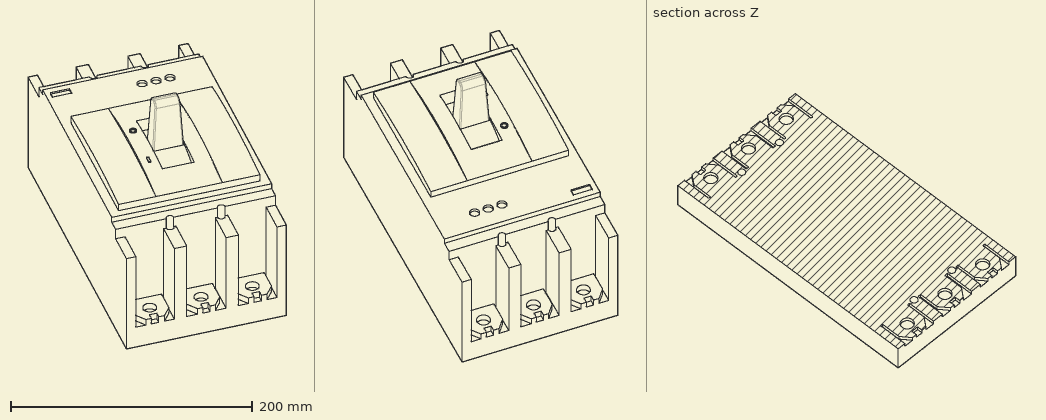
import cadquery as cq

LENGTH = 255.0
WIDTH = 140.0
TOTAL_HEIGHT = 168.8
WALL_TOP = 96.0
SHOULDER_TOP = 105.8
DECK_TOP = 111.0
SHOULDER_LENGTH = 199.2
DECK_LENGTH = 179.0

BAY_FLOOR = 21.2
OUTER_BAY_WIDTH = 33.7
MIDDLE_BAY_WIDTH = 34.5
POLE_PITCH = 45.0
BAY_LENGTH = (LENGTH - SHOULDER_LENGTH) / 2

PAD_HEIGHT = 5.9
PAD_MARGIN = 1.8
MIDDLE_PAD_MARGIN = 2.5
PAD_CHAMFER_LENGTH = 9.0
PAD_CHAMFER_WIDTH = 7.0
PAD_SLOT_LENGTH = 5.0
PAD_SLOT_WIDTH = 6.5
PAD_HOLE_DIAMETER = 11.5
PAD_HOLE_INSET = 14.0

MOUNT_DIAMETER = 6.5
MOUNT_Y = 22.5

INDICATOR_DIAMETER = 8.5
INDICATOR_X = -71.1
INDICATOR_MIDDLE_Y = 23.0
INDICATOR_PITCH = 12.2
INDICATOR_DEPTH = 2.5
RECESS_X = -80.8
RECESS_Y = -56.9
RECESS_LENGTH = 6.0
RECESS_WIDTH = 16.8
RECESS_DEPTH = 1.5

COVER_START = -40.8
COVER_SIZE = 123.7
COVER_X = COVER_START + COVER_SIZE / 2
COVER_EDGE = 117.5
SIDE_CROWN = 121.0
BAND_CROWN = 123.7
BAND_WIDTH = 58.1

WINDOW_LENGTH = 69.4
WINDOW_BOTTOM_LENGTH = 56.0
WINDOW_WIDTH = 27.8
WINDOW_BOTTOM = 112.2
ROCKER_TOP = 121.5
ROCKER_END = 114.8

HANDLE_BOTTOM_LENGTH = 16.5
HANDLE_BOTTOM_WIDTH = 27.5
HANDLE_TOP_LENGTH = 12.0
HANDLE_TOP_WIDTH = 21.5
HANDLE_TOP_RADIUS = 5.0
HANDLE_EDGE_RADIUS = 1.0

MARK_Y = -21.5
MARK_TOP = 123.7
RING_X = 0.8
RING_DIAMETER = 6.0
RING_BORE = 4.0
BAR_X = 41.3
BAR_LENGTH = 6.5
BAR_WIDTH = 2.0


def block(length, width, bottom, top, x=0, y=0):
    """Box centred on (x, y) between two heights."""
    return cq.Workplane("XY", origin=(x, y, bottom)).box(length, width, top - bottom, (True, True, False))


def cylinder(diameter, bottom, top, x, y):
    return cq.Workplane("XY", origin=(x, y, bottom)).circle(diameter / 2).extrude(top - bottom)


def crowned_block(length, width, bottom, edge, crown):
    """Block centred on the cover whose top arches along X from its edges to its crown."""
    half = length / 2
    return (
        cq.Workplane("XZ", origin=(COVER_X, width / 2, 0))
        .moveTo(-half, bottom)
        .lineTo(-half, edge)
        .threePointArc((0, crown), (half, edge))
        .lineTo(half, bottom)
        .close()
        .extrude(width)
    )


def terminal_pad(width):
    """Pad for the -X end, centred on Y = 0, with chamfered corners, an end slot and a bolt hole."""
    outer_x = -LENGTH / 2
    inner_x = -SHOULDER_LENGTH / 2
    half = width / 2
    pad = (
        cq.Workplane("XY", origin=(0, 0, BAY_FLOOR))
        .moveTo(inner_x, half)
        .lineTo(outer_x + PAD_CHAMFER_LENGTH, half)
        .lineTo(outer_x, half - PAD_CHAMFER_WIDTH)
        .lineTo(outer_x, PAD_CHAMFER_WIDTH - half)
        .lineTo(outer_x + PAD_CHAMFER_LENGTH, -half)
        .lineTo(inner_x, -half)
        .close()
        .extrude(PAD_HEIGHT)
    )
    pad_top = BAY_FLOOR + PAD_HEIGHT
    slot = block(2 * PAD_SLOT_LENGTH, PAD_SLOT_WIDTH, BAY_FLOOR, pad_top, outer_x)
    hole = cylinder(PAD_HOLE_DIAMETER, BAY_FLOOR, pad_top, outer_x + PAD_HOLE_INSET, 0)
    return pad.cut(slot).cut(hole)


def housing():
    body = block(LENGTH, WIDTH, 0, WALL_TOP)
    body = body.union(block(SHOULDER_LENGTH, WIDTH, 0, SHOULDER_TOP))
    body = body.union(block(DECK_LENGTH, WIDTH, 0, DECK_TOP))

    bay_x = (LENGTH - BAY_LENGTH) / 2
    for pole in (-1, 0, 1):
        pole_y = pole * POLE_PITCH
        bay_width = OUTER_BAY_WIDTH if pole else MIDDLE_BAY_WIDTH
        margin = PAD_MARGIN if pole else MIDDLE_PAD_MARGIN
        left_pad = terminal_pad(bay_width - 2 * margin)
        right_pad = left_pad.mirror("YZ")
        for side, pad in ((-1, left_pad), (1, right_pad)):
            body = body.cut(block(BAY_LENGTH, bay_width, BAY_FLOOR, WALL_TOP, side * bay_x, pole_y))
            body = body.union(pad.translate((0, pole_y, 0)))

    for x in (-SHOULDER_LENGTH / 2, SHOULDER_LENGTH / 2):
        for y in (-MOUNT_Y, MOUNT_Y):
            body = body.cut(cylinder(MOUNT_DIAMETER, 0, SHOULDER_TOP, x, y))
    return body


def cut_deck_details(body):
    for step in (-1, 0, 1):
        y = INDICATOR_MIDDLE_Y + step * INDICATOR_PITCH
        body = body.cut(cylinder(INDICATOR_DIAMETER, DECK_TOP - INDICATOR_DEPTH, DECK_TOP, INDICATOR_X, y))
    recess = block(RECESS_LENGTH, RECESS_WIDTH, DECK_TOP - RECESS_DEPTH, DECK_TOP, RECESS_X, RECESS_Y)
    return body.cut(recess)


def cover():
    plate = crowned_block(COVER_SIZE, COVER_SIZE, DECK_TOP, COVER_EDGE, SIDE_CROWN)
    band = crowned_block(COVER_SIZE, BAND_WIDTH, DECK_TOP, COVER_EDGE, BAND_CROWN)
    return plate.union(band)


def window():
    """Opening through the cover whose end walls slope inwards towards the bottom."""
    return (
        cq.Workplane("XY", origin=(COVER_X, 0, WINDOW_BOTTOM))
        .rect(WINDOW_BOTTOM_LENGTH, WINDOW_WIDTH)
        .workplane(offset=BAND_CROWN - WINDOW_BOTTOM)
        .rect(WINDOW_LENGTH, WINDOW_WIDTH)
        .loft()
    )


def rocker():
    return crowned_block(WINDOW_BOTTOM_LENGTH, WINDOW_WIDTH, WINDOW_BOTTOM, ROCKER_END, ROCKER_TOP)


def handle():
    lever = (
        cq.Workplane("XY", origin=(COVER_X, 0, ROCKER_END))
        .rect(HANDLE_BOTTOM_LENGTH, HANDLE_BOTTOM_WIDTH)
        .workplane(offset=TOTAL_HEIGHT - ROCKER_END)
        .rect(HANDLE_TOP_LENGTH, HANDLE_TOP_WIDTH)
        .loft()
    )
    lever = lever.faces(">Z").edges("|Y").fillet(HANDLE_TOP_RADIUS)
    return lever.faces("<Y or >Y").edges("not <Z").fillet(HANDLE_EDGE_RADIUS)


def marks():
    ring = cylinder(RING_DIAMETER, COVER_EDGE, MARK_TOP, RING_X, MARK_Y)
    bore = cylinder(RING_BORE, COVER_EDGE, MARK_TOP, RING_X, MARK_Y)
    bar = block(BAR_LENGTH, BAR_WIDTH, COVER_EDGE, MARK_TOP, BAR_X, MARK_Y)
    return ring.cut(bore).union(bar)


result = cut_deck_details(housing())
result = result.union(cover())
result = result.cut(window())
for feature in (rocker(), handle(), marks()):
    result = result.union(feature)